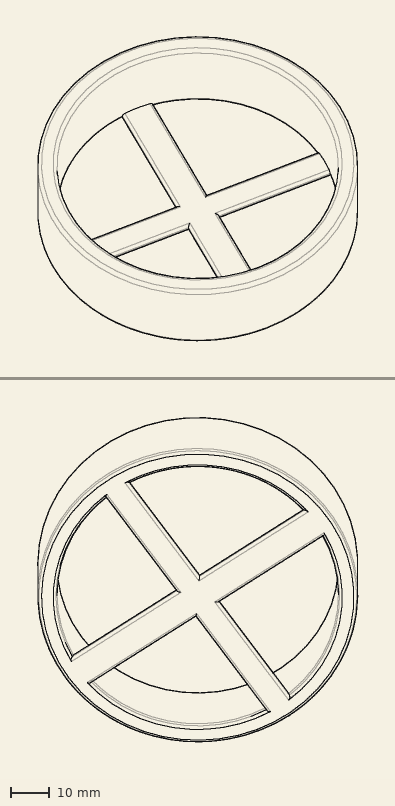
import cadquery as cq

outer_diameter = 82.5
bore_diameter = 72.5
height = 22.0
edge_radius = 1.0
bottom_chamfer = 1.0

x_bar_width = 8.7
y_bar_width = 7.2
bar_thickness = 2.0
bar_edge_radius = 0.75


def make_ring():
    """Ring with a rounded rim and softened chamfers inside and outside its foot."""
    ring = cq.Workplane("XY").circle(outer_diameter / 2).circle(bore_diameter / 2).extrude(height)
    ring = ring.faces("<Z").edges().chamfer(bottom_chamfer)
    chamfer_tops = cq.selectors.BoxSelector(
        (-outer_diameter, -outer_diameter, bottom_chamfer / 2),
        (outer_diameter, outer_diameter, bottom_chamfer * 3 / 2),
        boundingbox=True,
    )
    ring = ring.edges(chamfer_tops).fillet(edge_radius)
    return ring.faces(">Z").edges().fillet(edge_radius)


def make_bar(size_x, size_y, length_axis):
    """Flat bar with its long edges rounded, resting on the base plane."""
    bar = cq.Workplane("XY").box(size_x, size_y, bar_thickness, centered=(True, True, False))
    return bar.edges("|" + length_axis).fillet(bar_edge_radius)


def make_cross():
    """Two crossing bars whose ends are buried halfway into the ring wall."""
    bar_length = (outer_diameter + bore_diameter) / 2
    x_bar = make_bar(bar_length, x_bar_width, "X")
    y_bar = make_bar(y_bar_width, bar_length, "Y")
    return x_bar.union(y_bar)


result = make_ring().union(make_cross())